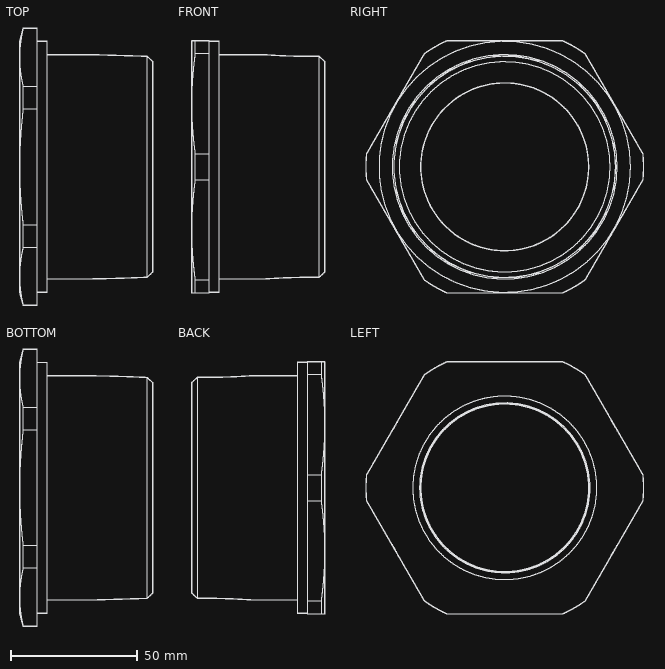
import cadquery as cq
import math

total_length = 52.8
corner_diameter = 110.0
across_flats = 99.9
head_thickness = 6.9
head_face_diameter = 99.5
head_chamfer_length = 1.4

collar_diameter = 99.5
collar_thickness = 4.0

body_diameter = 89.0
body_length = 17.6
taper_end_diameter = 87.6
tip_diameter = 83.3
tip_chamfer_length = 2.3

bore_diameter = 66.4
bore_mouth_diameter = 72.8
bore_throat_diameter = 67.4
mouth_chamfer_length = 3.1
bore_taper_end = 23.5

collar_end = head_thickness + collar_thickness
taper_start = collar_end + body_length
tip_start = total_length - tip_chamfer_length


def revolve_about_x(outline):
    """Revolve a closed (x, radius) outline about the X axis."""
    return cq.Workplane("XY").polyline(outline).close().revolve(360, (0, 0, 0), (1, 0, 0))


def make_head():
    """Hexagon with flats facing +Z and -Z, rounded corners and a chamfered face."""
    hexagon = (
        cq.Workplane("YZ")
        .polygon(6, across_flats / math.cos(math.pi / 6))
        .extrude(head_thickness)
    )
    corner_envelope = revolve_about_x([
        (0, 0),
        (0, head_face_diameter / 2),
        (head_chamfer_length, corner_diameter / 2),
        (head_thickness, corner_diameter / 2),
        (head_thickness, 0),
    ])
    return hexagon.intersect(corner_envelope)


def make_shank():
    """Collar, straight body, slightly tapered end and chamfered tip."""
    return revolve_about_x([
        (0, 0),
        (0, bore_mouth_diameter / 2),
        (head_thickness, bore_mouth_diameter / 2),
        (head_thickness, collar_diameter / 2),
        (collar_end, collar_diameter / 2),
        (collar_end, body_diameter / 2),
        (taper_start, body_diameter / 2),
        (tip_start, taper_end_diameter / 2),
        (total_length, tip_diameter / 2),
        (total_length, 0),
    ])


def make_bore():
    """Chamfered mouth, slightly tapered throat, then a straight through bore."""
    return revolve_about_x([
        (0, 0),
        (0, bore_mouth_diameter / 2),
        (mouth_chamfer_length, bore_throat_diameter / 2),
        (bore_taper_end, bore_diameter / 2),
        (total_length, bore_diameter / 2),
        (total_length, 0),
    ])


result = make_head().union(make_shank()).cut(make_bore())